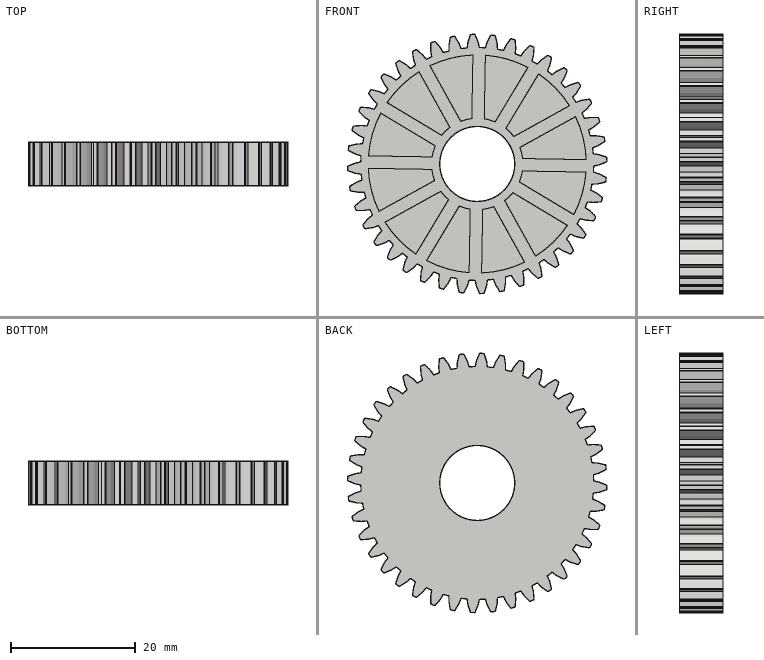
import cadquery as cq
import math

tip_diameter = 41.65
tooth_count = 40
face_width = 7.0
bore_diameter = 12.0
pressure_angle = math.radians(20)
first_tooth_angle = 2.0

module = tip_diameter / (tooth_count + 2)
tip_radius = tip_diameter / 2
pitch_radius = module * tooth_count / 2
base_radius = pitch_radius * math.cos(pressure_angle)
root_radius = 18.7
flank_break_radius = 19.6
flank_relief = 0.015
tip_chamfer_radius = 20.75
tip_land_width = 0.63

rib_count = 12
rib_width = 2.0
first_rib_angle = -1.0
pocket_inner_radius = 7.35
pocket_outer_radius = 17.5
pocket_depth = 1.5


def polar(radius, angle):
    return (radius * math.cos(angle), radius * math.sin(angle))


def involute(angle):
    return math.tan(angle) - angle


def half_tooth_angle(radius):
    """Half the angle a tooth spans at a radius on its relieved involute flank."""
    at_pitch = math.pi / (2 * tooth_count)
    at_base = at_pitch + involute(pressure_angle)
    return at_base - involute(math.acos(base_radius / radius)) - flank_relief / radius


def gear_blank():
    """Toothed disc; each flank is two flat facets and a small tip chamfer."""
    flank_radii = [root_radius, flank_break_radius, tip_chamfer_radius]
    profile = [(radius, half_tooth_angle(radius)) for radius in flank_radii]
    profile.append((tip_radius, math.asin(tip_land_width / 2 / tip_radius)))
    root_half_angle = half_tooth_angle(root_radius)
    pitch_angle = 2 * math.pi / tooth_count
    start = math.radians(first_tooth_angle)
    first_corner = polar(root_radius, start - root_half_angle)
    outline = cq.Workplane("XZ", origin=(0, face_width / 2, 0)).moveTo(*first_corner)
    for tooth in range(tooth_count):
        center = start + tooth * pitch_angle
        rising = [polar(radius, center - half_angle) for radius, half_angle in profile]
        falling = [polar(radius, center + half_angle) for radius, half_angle in reversed(profile)]
        next_corner = polar(root_radius, center + pitch_angle - root_half_angle)
        for point in rising[1:]:
            outline = outline.lineTo(*point)
        outline = outline.threePointArc(polar(tip_radius, center), falling[0])
        for point in falling[1:]:
            outline = outline.lineTo(*point)
        outline = outline.threePointArc(polar(root_radius, center + pitch_angle / 2), next_corner)
    return outline.close().extrude(face_width)


def pocket_cutter(middle_angle):
    """Sector pocket whose straight sides run parallel to the ribs beside it."""
    half_pitch = math.pi / rib_count

    def corner(radius, side):
        rib_offset = math.asin(rib_width / 2 / radius)
        return polar(radius, middle_angle + side * (half_pitch - rib_offset))

    return (
        cq.Workplane("XZ", origin=(0, -face_width / 2, 0))
        .moveTo(*corner(pocket_inner_radius, -1))
        .lineTo(*corner(pocket_outer_radius, -1))
        .threePointArc(polar(pocket_outer_radius, middle_angle), corner(pocket_outer_radius, 1))
        .lineTo(*corner(pocket_inner_radius, 1))
        .threePointArc(polar(pocket_inner_radius, middle_angle), corner(pocket_inner_radius, -1))
        .close()
        .extrude(-pocket_depth)
    )


bore = cq.Workplane("XZ").circle(bore_diameter / 2).extrude(face_width, both=True)

result = gear_blank().cut(bore)
for pocket in range(rib_count):
    middle = math.radians(first_rib_angle + (pocket + 0.5) * 360 / rib_count)
    result = result.cut(pocket_cutter(middle))